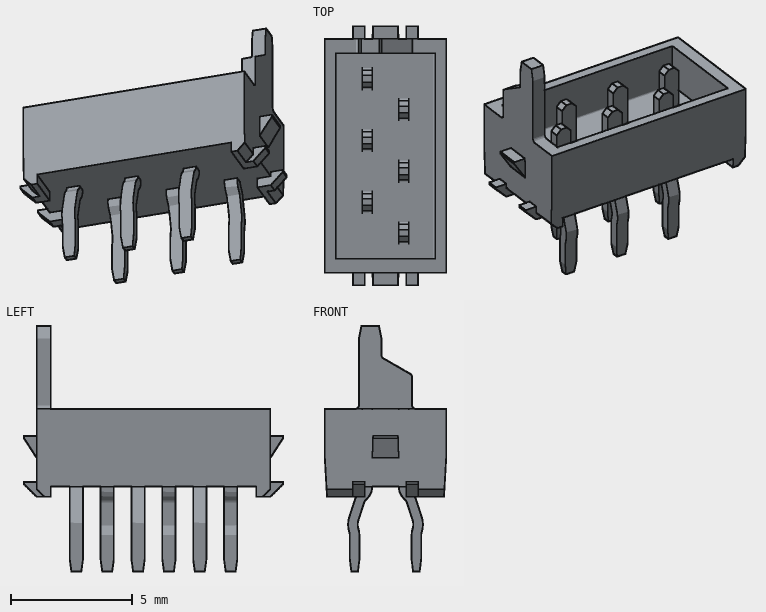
import cadquery as cq
import math


OVERALL_LENGTH = 10.65
HOUSING_WIDTH = 5.0
HOUSING_LENGTH = 9.61
HOUSING_TOP = 3.2
SIDE_TAPER_TOP = 1.18
SIDE_WALL = 0.46
END_WALL = 0.59
FLOOR_TOP = 1.3
FLOOR_FILLET = 0.07
CAVITY_WIDTH = HOUSING_WIDTH - 2 * SIDE_WALL
CAVITY_LENGTH = HOUSING_LENGTH - 2 * END_WALL
HALF_LENGTH = HOUSING_LENGTH / 2

FOOT_BOTTOM = -0.42
FOOT_GAP = 1.7
FOOT_CHAMFER = 0.32
FOOT_WIDTH = 4.81

LATCH_REACH = OVERALL_LENGTH / 2 - HALF_LENGTH
LATCH_LIP = 0.1
WEDGE_TOP = 2.09
WEDGE_BOTTOM = SIDE_TAPER_TOP
WEDGE_TOP_WIDTH = 1.02
WEDGE_BOTTOM_WIDTH = 1.09
HOOK_TOP = 0.2
HOOK_WIDTH = 0.49

TAB_TOP = 6.6
TAB_WIDTH = 2.19
TAB_POST_WIDTH = 0.94
TAB_TAPER_HEIGHT = 0.52
TAB_TAPER_SIDE = 0.11
TAB_SHOULDER = 4.59
TAB_SHOULDER_SLOPE = math.radians(30)
TAB_FILLET = 0.15

PIN_COUNT = 6
PIN_PITCH = 1.27
BLADE_ROW = 0.75
TAIL_ROW = 1.27
PIN_THICKNESS = 0.4
BLADE_WIDTH = 0.7
BLADE_TOP = HOUSING_TOP
BLADE_CHAMFER = 0.21
BLADE_FILLET = 0.1
TAIL_WIDTH = 0.55
TAIL_BOTTOM = -3.49
TIP_HEIGHT = 0.51
TIP_THICKNESS = 0.28
TIP_WIDTH = 0.42

UPPER_BEND_RADIUS = 0.48
LOWER_BEND_RADIUS = 0.75
EXIT_ANGLE = math.radians(50)
SPLAY_ANGLE = math.radians(18)


def extrude_along_y(profile, length):
    """Extrude an XZ profile symmetrically about Y = 0."""
    return profile.extrude(length / 2, both=True)


def make_housing():
    half_top = HOUSING_WIDTH / 2
    half_foot = FOOT_WIDTH / 2
    profile = (
        cq.Workplane("XZ")
        .moveTo(-half_top, HOUSING_TOP)
        .lineTo(half_top, HOUSING_TOP)
        .lineTo(half_top, SIDE_TAPER_TOP)
        .lineTo(half_foot, FOOT_BOTTOM)
        .lineTo(-half_foot, FOOT_BOTTOM)
        .lineTo(-half_top, SIDE_TAPER_TOP)
        .close()
    )
    body = extrude_along_y(profile, HOUSING_LENGTH)
    body = body.faces("<Z").edges("|X").chamfer(FOOT_CHAMFER)

    foot_height = -FOOT_BOTTOM
    for size_x, size_y in ((HOUSING_WIDTH, CAVITY_LENGTH), (FOOT_GAP, HOUSING_LENGTH)):
        clearance = cq.Workplane("XY").box(size_x, size_y, foot_height, centered=(True, True, False))
        body = body.cut(clearance.translate((0, 0, FOOT_BOTTOM)))

    cavity = (
        cq.Workplane("XY", origin=(0, 0, FLOOR_TOP))
        .rect(CAVITY_WIDTH, CAVITY_LENGTH)
        .extrude(HOUSING_TOP - FLOOR_TOP)
        .faces("<Z")
        .edges("|Y")
        .fillet(FLOOR_FILLET)
    )
    return body.cut(cavity)


def latch_profile(top, bottom):
    """YZ outline on the +Y end: flat top, short lip, then a slope back to the wall."""
    tip = HALF_LENGTH + LATCH_REACH
    root = HALF_LENGTH - FOOT_CHAMFER
    return (
        cq.Workplane("YZ")
        .moveTo(root, top)
        .lineTo(tip, top)
        .lineTo(tip, top - LATCH_LIP)
        .lineTo(HALF_LENGTH, bottom)
        .lineTo(root, bottom)
        .close()
    )


def make_end_latches():
    """Central wedge and two foot hooks of the +Y end."""
    front = (
        cq.Workplane("XZ")
        .moveTo(-WEDGE_TOP_WIDTH / 2, WEDGE_TOP)
        .lineTo(WEDGE_TOP_WIDTH / 2, WEDGE_TOP)
        .lineTo(WEDGE_BOTTOM_WIDTH / 2, WEDGE_BOTTOM)
        .lineTo(-WEDGE_BOTTOM_WIDTH / 2, WEDGE_BOTTOM)
        .close()
    )
    side = latch_profile(WEDGE_TOP, WEDGE_BOTTOM).extrude(WEDGE_BOTTOM_WIDTH / 2, both=True)
    latches = extrude_along_y(front, OVERALL_LENGTH).intersect(side)

    hook = latch_profile(HOOK_TOP, FOOT_BOTTOM).extrude(HOOK_WIDTH)
    latches = latches.union(hook.translate((FOOT_GAP / 2, 0, 0)))
    return latches.union(hook.translate((-FOOT_GAP / 2 - HOOK_WIDTH, 0, 0)))


def make_key_tab():
    left = -TAB_WIDTH / 2
    right = TAB_WIDTH / 2
    post_right = left + TAB_POST_WIDTH
    notch = TAB_SHOULDER + (right - post_right) * math.tan(TAB_SHOULDER_SLOPE)
    taper_bottom = TAB_TOP - TAB_TAPER_HEIGHT
    tab = (
        cq.Workplane("XZ", origin=(0, HALF_LENGTH, 0))
        .moveTo(left, HOUSING_TOP)
        .lineTo(left, taper_bottom)
        .lineTo(left + TAB_TAPER_SIDE, TAB_TOP)
        .lineTo(post_right - TAB_TAPER_SIDE, TAB_TOP)
        .lineTo(post_right, taper_bottom)
        .lineTo(post_right, notch)
        .lineTo(right, TAB_SHOULDER)
        .lineTo(right, HOUSING_TOP)
        .close()
        .extrude(END_WALL)
    )
    mid_wall = HALF_LENGTH - END_WALL / 2
    for corner in ((post_right, mid_wall, notch), (right, mid_wall, TAB_SHOULDER)):
        tab = tab.edges(cq.selectors.NearestToPointSelector(corner)).fillet(TAB_FILLET)
    return tab


def concave_corner(y_wall, direction, floor, radius):
    """YZ outline filling the corner between a floor and a wall, outward along direction."""
    mid_offset = radius * (1 - math.cos(math.radians(45)))
    arc_mid = (y_wall + direction * mid_offset, floor + mid_offset)
    arc_end = (y_wall + direction * radius, floor)
    return (
        cq.Workplane("YZ")
        .moveTo(y_wall, floor)
        .lineTo(y_wall, floor + radius)
        .threePointArc(arc_mid, arc_end)
        .close()
    )


def make_tab_fillets():
    """Fillets between the key tab and the rim, at both X sides."""
    fillets = cq.Workplane("XY")
    for side in (-1, 1):
        fillet = concave_corner(side * TAB_WIDTH / 2, side, HOUSING_TOP, TAB_FILLET).extrude(END_WALL)
        fillet = fillet.rotate((0, 0, 0), (0, 0, 1), -90)
        fillets = fillets.union(fillet.translate((0, HALF_LENGTH, 0)))
    return fillets


def make_blade():
    blade = (
        cq.Workplane("XY")
        .box(PIN_THICKNESS, BLADE_WIDTH, BLADE_TOP, centered=(True, True, False))
        .faces(">Z")
        .edges("|X")
        .chamfer(BLADE_CHAMFER)
    )
    for side in (-1, 1):
        corner = concave_corner(side * BLADE_WIDTH / 2, side, FLOOR_TOP, BLADE_FILLET)
        blade = blade.union(corner.extrude(PIN_THICKNESS / 2, both=True))
    return blade.translate((BLADE_ROW, 0, 0))


def make_tail():
    """Tail kinked outward by four tangent bends, then a tapered tip."""
    exit_x = BLADE_ROW + UPPER_BEND_RADIUS * (1 - math.cos(EXIT_ANGLE))
    exit_z = -UPPER_BEND_RADIUS * math.sin(EXIT_ANGLE)
    splay_x = exit_x + UPPER_BEND_RADIUS * (math.cos(SPLAY_ANGLE) - math.cos(EXIT_ANGLE))
    splay_z = exit_z - UPPER_BEND_RADIUS * (math.sin(EXIT_ANGLE) - math.sin(SPLAY_ANGLE))
    knee_x = TAIL_ROW + LOWER_BEND_RADIUS * (1 - math.cos(SPLAY_ANGLE))
    knee_z = splay_z - (knee_x - splay_x) / math.tan(SPLAY_ANGLE)
    bend_drop = LOWER_BEND_RADIUS * math.sin(SPLAY_ANGLE)
    tip_top = TAIL_BOTTOM + TIP_HEIGHT

    path = (
        cq.Workplane("XZ")
        .moveTo(BLADE_ROW, FLOOR_TOP / 2)
        .lineTo(BLADE_ROW, 0)
        .tangentArcPoint((exit_x, exit_z), relative=False)
        .tangentArcPoint((splay_x, splay_z), relative=False)
        .lineTo(knee_x, knee_z)
        .tangentArcPoint((knee_x, knee_z - 2 * bend_drop), relative=False)
        .tangentArcPoint((TAIL_ROW, knee_z - 3 * bend_drop), relative=False)
        .lineTo(TAIL_ROW, tip_top)
    )
    start = cq.Workplane("XY", origin=(BLADE_ROW, 0, FLOOR_TOP / 2))
    tail = start.rect(PIN_THICKNESS, TAIL_WIDTH).sweep(path)
    tip = (
        cq.Workplane("XY", origin=(TAIL_ROW, 0, tip_top))
        .rect(PIN_THICKNESS, TAIL_WIDTH)
        .workplane(offset=-TIP_HEIGHT)
        .rect(TIP_THICKNESS, TIP_WIDTH)
        .loft()
    )
    return tail.union(tip)


result = make_housing()

end_latches = make_end_latches()
result = result.union(end_latches).union(end_latches.mirror("XZ"))
result = result.union(make_key_tab()).union(make_tab_fillets())

pin = make_blade().union(make_tail())
turned_pin = pin.rotate((0, 0, 0), (0, 0, 1), 180)
for index in range(PIN_COUNT):
    pin_y = (index - (PIN_COUNT - 1) / 2) * PIN_PITCH
    row_pin = pin if index % 2 == 0 else turned_pin
    result = result.union(row_pin.translate((0, pin_y, 0)))